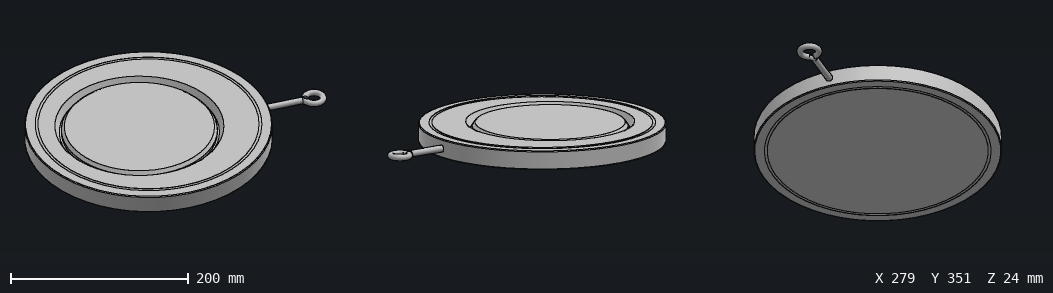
import cadquery as cq
import math

body_diameter = 279.0
body_radius = body_diameter / 2
overall_height = 24.0
seal_protrusion = 1.0
body_height = overall_height - 2 * seal_protrusion
top_z = body_height / 2
rim_chamfer = 1.0

seal_ring_radius = 126.0
seal_cord_radius = 1.8

seat_center_y = -11.0
seat_top_radius = 95.0
seat_floor_radius = 90.2
seat_depth = 8.8
plate_diameter = 176.0
plate_radius = plate_diameter / 2
plate_top_radius = 84.5
plate_setback = 1.0
plate_bevel_height = 4.2

overall_length = 351.0
rod_diameter = 8.0
rod_radius = rod_diameter / 2
eye_ring_radius = 10.5
eye_cord_radius = 4.0
eye_center_y = overall_length - body_radius - eye_ring_radius - eye_cord_radius
rod_embed = 3.5
rod_end_y = 183.0

neck_angle = 24.0
free_end_angle = 12.0


def make_body():
    """Flat disc with a small bevel around both rims."""
    disc = cq.Workplane("XY").workplane(offset=-top_z).circle(body_radius).extrude(body_height)
    return disc.edges().chamfer(rim_chamfer)


def make_seat_groove():
    """Annular groove between the tapered seat and the bevelled plate, as a cutter."""
    floor_z = top_z - seat_depth
    plate_top_z = top_z - plate_setback
    profile = (
        cq.Workplane("XZ")
        .moveTo(0, top_z)
        .lineTo(seat_top_radius, top_z)
        .lineTo(seat_floor_radius, floor_z)
        .lineTo(plate_radius, floor_z)
        .lineTo(plate_radius, plate_top_z - plate_bevel_height)
        .lineTo(plate_top_radius, plate_top_z)
        .lineTo(0, plate_top_z)
        .close()
    )
    groove = profile.revolve(360, (0, 0, 0), (0, 1, 0))
    return groove.translate((0, seat_center_y, 0))


def make_seal(side):
    """O-ring standing proud of the top (side = 1) or bottom (side = -1) face."""
    center_z = side * (overall_height / 2 - seal_cord_radius)
    ring = cq.Solid.makeTorus(seal_ring_radius, seal_cord_radius)
    return cq.Workplane("XY").add(ring.translate(cq.Vector(0, 0, center_z)))


def make_lifting_eye():
    """Rod leaving the rim along +Y, with a neck bending into an almost closed wire ring."""
    eye_center = cq.Vector(0, eye_center_y, 0)
    along_y = cq.Vector(0, 1, 0)
    angle = math.radians(neck_angle)
    outward = cq.Vector(math.sin(angle), -math.cos(angle), 0)
    along_wire = cq.Vector(math.cos(angle), math.sin(angle), 0)

    rod_start_y = body_radius - rod_embed
    rod_length = rod_end_y - rod_start_y
    rod = cq.Workplane("XZ", origin=(0, rod_start_y, 0)).circle(rod_radius).extrude(-rod_length)

    wire_plane = cq.Plane(eye_center + outward * eye_ring_radius, outward, along_wire)
    ring_sweep = 360 - neck_angle - free_end_angle
    ring = (
        cq.Workplane(wire_plane)
        .circle(eye_cord_radius)
        .revolve(ring_sweep, (-eye_ring_radius, 0, 0), (-eye_ring_radius, -1, 0))
    )

    rod_end = cq.Wire.makeCircle(rod_radius, cq.Vector(0, rod_end_y, 0), along_y)
    ring_start = cq.Wire.makeCircle(eye_cord_radius, wire_plane.origin, along_wire)
    neck = cq.Workplane("XY").add(cq.Solid.makeLoft([rod_end, ring_start], True))
    return ring.union(neck).union(rod)


result = make_body().cut(make_seat_groove())
for face_side in (1, -1):
    result = result.union(make_seal(face_side))
result = result.union(make_lifting_eye())